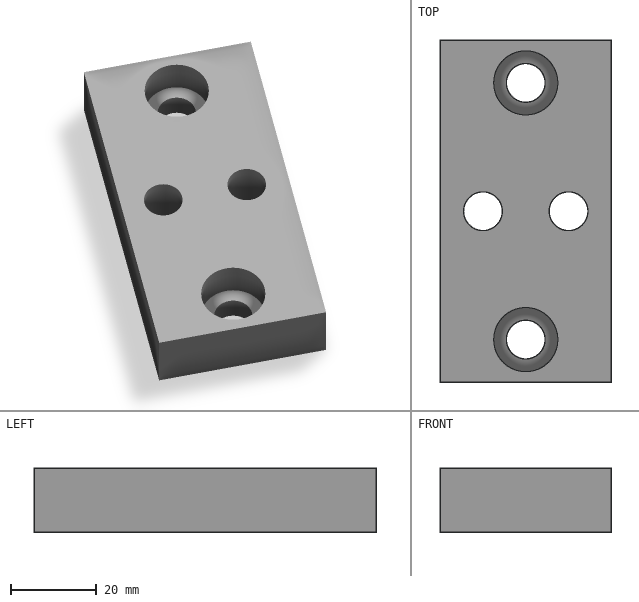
import cadquery as cq

width = 40.0
length = 80.0
thickness = 15.0

hole_diameter = 9.0
counterbore_diameter = 15.0
counterbore_depth = 9.0
counterbored_spacing = 60.0
plain_spacing = 20.0


def make_plate():
    """Rectangular plate centred in X and Y, resting on Z = 0."""
    return cq.Workplane("XY").box(width, length, thickness, centered=(True, True, False))


def add_counterbored_holes(body):
    """Two counterbored through holes, one near each end of the plate."""
    offset = counterbored_spacing / 2
    return (
        body.faces(">Z")
        .workplane(origin=(0, 0, thickness))
        .pushPoints([(0, -offset), (0, offset)])
        .cboreHole(hole_diameter, counterbore_diameter, counterbore_depth)
    )


def add_plain_holes(body):
    """Two plain through holes side by side at mid-length."""
    offset = plain_spacing / 2
    return (
        body.faces(">Z")
        .workplane(origin=(0, 0, thickness))
        .pushPoints([(-offset, 0), (offset, 0)])
        .hole(hole_diameter)
    )


result = add_plain_holes(add_counterbored_holes(make_plate()))